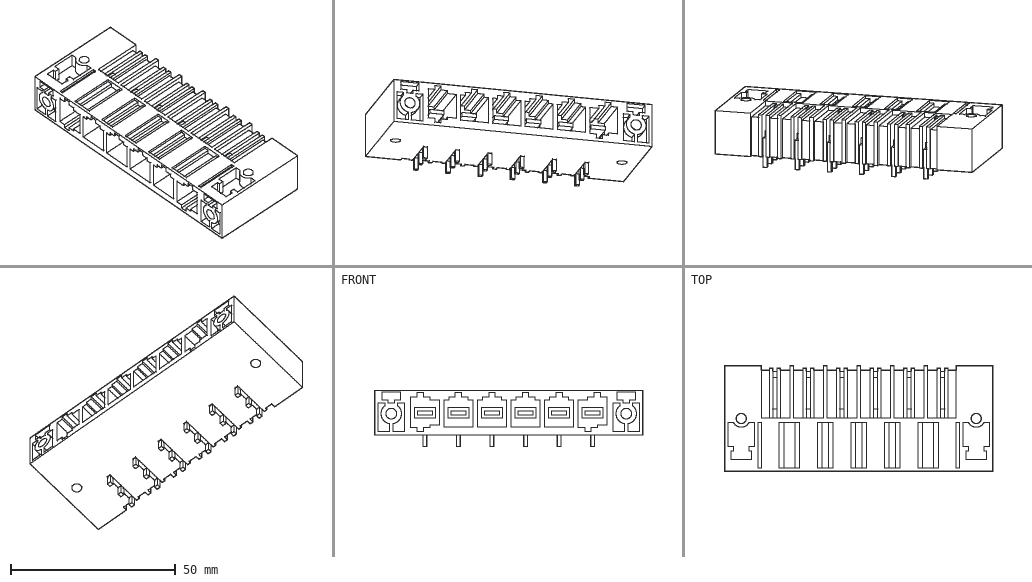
import cadquery as cq

length = 81.3
depth = 32.0
height = 13.6
leg_length = 3.5

contact_count = 6
pitch = 10.2
contact_places = [(i - (contact_count - 1) / 2) * pitch for i in range(contact_count)]
gap_places = [(left + right) / 2 for left, right in zip(contact_places, contact_places[1:])]

socket_depth = 14.9
socket_half = 4.4
step_half = 2.9
key_half = 1.0
socket_roof = 10.65
step_roof = 11.6
key_roof = 12.85
socket_floor = 2.5
end_step = 1.55
end_key = -1.4
end_floor = 3.0
end_step_floor = 2.3
lowest_floor = 1.05

blade_width = 4.5
blade_thickness = 1.2
blade_level = 6.75
blade_tip = 6.1
plate_thickness = 1.2
plate_front = 18.85
plate_back = 30.3
tail_front = 28.4
tail_top = 5.7
leg_count = 3
leg_size = 1.2
leg_pitch = 5.0
blade_top = blade_level + blade_thickness / 2
leg_places = [plate_back - leg_size / 2 - i * leg_pitch for i in range(leg_count)]

collar_width = 6.3
collar_height = 3.2
collar_depth = 0.6

flange_edge = 29.5
recess_front = 16.1
recess_floor = 12.1
rear_wall = 30.65
divider_thickness = 1.1
fin_thickness = 1.05
fin_back = 31.3
fin_top = 13.1
ledge_top = 12.7

groove_front = 1.0
groove_depth = 0.8
channel_depth = 1.95
groove_half = 2.35
channel_half = 1.0
end_groove_half = 3.8
end_channel_half = 2.35
side_groove_width = 1.0

flange_place = 35.6
mount_hole = 3.0
mount_boss = 5.3
pocket_half = 4.1
pocket_back = socket_depth
pocket_front = 7.55
pocket_floor = 9.35
neck_half = 2.35
slot_half = 3.2
slot_back = 6.1
slot_front = 3.6

face_pocket_depth = 3.0
face_pocket_top = 9.7
screw_level = 6.5
screw_boss = 6.2
screw_hole = 3.25
screw_hole_depth = 6.5
bridge_half = 1.95
web_thickness = 1.0
tee_half = 2.85
tee_stem_half = 1.0
tee_bottom = 10.65
tee_top = 13.1


def box(x0, x1, y0, y1, z0, z1):
    return cq.Workplane("XY").box(x1 - x0, y1 - y0, z1 - z0, centered=False).translate((x0, y0, z0))


def from_face(points, distance):
    """A prism whose outline lies in the mating face and which runs back into the housing."""
    return cq.Workplane("XZ").polyline(points).close().extrude(-distance)


def mating_cylinder(diameter, distance):
    return cq.Workplane("XZ").center(0, screw_level).circle(diameter / 2).extrude(-distance)


def middle_socket():
    right = [
        (socket_half, socket_floor),
        (socket_half, socket_roof),
        (step_half, socket_roof),
        (step_half, step_roof),
        (key_half, step_roof),
        (key_half, key_roof),
    ]
    left = [(-x, z) for x, z in reversed(right)]
    return from_face(right + left, socket_depth)


def end_socket(side):
    """Socket next to the flange on the given side; only its roof is mirrored."""
    roof = [
        (-socket_half, step_roof),
        (end_key - key_half, step_roof),
        (end_key - key_half, key_roof),
        (end_key + key_half, key_roof),
        (end_key + key_half, step_roof),
        (end_step, step_roof),
        (end_step, socket_roof),
        (socket_half, socket_roof),
    ]
    if side > 0:
        roof = [(-x, z) for x, z in reversed(roof)]
    floor = [
        (socket_half, end_floor),
        (end_step, end_floor),
        (end_step, end_step_floor),
        (end_key + key_half, end_step_floor),
        (end_key + key_half, lowest_floor),
        (end_key - key_half, lowest_floor),
        (end_key - key_half, end_step_floor),
        (-socket_half, end_step_floor),
    ]
    return from_face(roof + floor, socket_depth)


def collar_recess():
    half_width = collar_width / 2
    bottom = blade_level - collar_height / 2
    recess_back = socket_depth + collar_depth
    return box(-half_width, half_width, socket_depth, recess_back, bottom, bottom + collar_height)


def roof_groove(shelf_left, shelf_right, channel_left, channel_right):
    shelf = box(-shelf_left, shelf_right, groove_front, socket_depth, height - groove_depth, height)
    channel = box(-channel_left, channel_right, groove_front, socket_depth, height - channel_depth, height)
    return shelf.union(channel)


def fin_pair():
    pair_half = plate_thickness / 2 + fin_thickness
    return box(-pair_half, pair_half, recess_front, fin_back, 0, fin_top)


def contact_slot():
    """Slot between two fins, open downwards and to the rear behind a short ledge."""
    half = plate_thickness / 2
    above_ledge = box(-half, half, recess_front, plate_front, ledge_top, height)
    behind_ledge = box(-half, half, plate_front, depth, 0, height)
    return above_ledge.union(behind_ledge)


def flange_top_pocket():
    pocket = box(-pocket_half, pocket_half, pocket_front, pocket_back, pocket_floor, height)
    neck = box(-neck_half, neck_half, slot_back, pocket_front, pocket_floor, height)
    slot = box(-slot_half, slot_half, slot_front, slot_back, pocket_floor, height)
    boss = cq.Workplane("XY").center(0, depth / 2).circle(mount_boss / 2).extrude(height)
    return pocket.union(neck).union(slot).cut(boss)


def flange_face_pocket():
    pocket = box(-pocket_half, pocket_half, 0, face_pocket_depth, lowest_floor, face_pocket_top)
    boss = mating_cylinder(screw_boss, face_pocket_depth)
    bridge = box(-bridge_half, bridge_half, 0, face_pocket_depth, screw_level, face_pocket_top)
    web = box(-web_thickness / 2, web_thickness / 2, 0, face_pocket_depth, 0, screw_level)
    return pocket.cut(boss).cut(bridge).cut(web)


def flange_tee():
    bar = box(-tee_half, tee_half, 0, face_pocket_depth, tee_bottom, tee_top)
    stem = box(-tee_stem_half, tee_stem_half, 0, face_pocket_depth, face_pocket_top, tee_bottom)
    return bar.union(stem)


def flange_cuts():
    mount = cq.Workplane("XY").center(0, depth / 2).circle(mount_hole / 2).extrude(height)
    cuts = flange_top_pocket().union(mount)
    for cut in (flange_face_pocket(), flange_tee(), mating_cylinder(screw_hole, screw_hole_depth)):
        cuts = cuts.union(cut)
    return cuts


def blade():
    half = blade_width / 2
    return box(-half, half, blade_tip, plate_front, blade_top - blade_thickness, blade_top)


def make_contact():
    half = plate_thickness / 2
    contact = blade()
    contact = contact.union(box(-half, half, plate_front, tail_front, 0, blade_top))
    contact = contact.union(box(-half, half, tail_front, plate_back, 0, tail_top))
    leg_half = leg_size / 2
    for y in leg_places:
        contact = contact.union(box(-leg_half, leg_half, y - leg_half, y + leg_half, -leg_length, 0))
    return contact


def make_housing():
    body = box(-length / 2, length / 2, 0, depth, 0, height)

    body = body.cut(box(-flange_edge, flange_edge, recess_front, depth, recess_floor, height))
    body = body.cut(box(-flange_edge, flange_edge, rear_wall, depth, 0, height))
    for x in gap_places:
        half = divider_thickness / 2
        body = body.union(box(x - half, x + half, recess_front, depth, 0, height))
    for x in contact_places:
        body = body.union(fin_pair().translate((x, 0, 0)))
        body = body.cut(contact_slot().translate((x, 0, 0)))

    for x in contact_places[1:-1]:
        body = body.cut(middle_socket().translate((x, 0, 0)))
    for x, side in ((contact_places[0], -1), (contact_places[-1], 1)):
        body = body.cut(end_socket(side).translate((x, 0, 0)))
    for x in contact_places:
        body = body.cut(collar_recess().translate((x, 0, 0)))
        body = body.cut(blade().translate((x, 0, 0)))

    for x in gap_places[1:-1]:
        groove = roof_groove(groove_half, groove_half, channel_half, channel_half)
        body = body.cut(groove.translate((x, 0, 0)))
    left = roof_groove(end_groove_half, groove_half, end_channel_half, channel_half)
    right = roof_groove(groove_half, end_groove_half, channel_half, end_channel_half)
    body = body.cut(left.translate((gap_places[0], 0, 0)))
    body = body.cut(right.translate((gap_places[-1], 0, 0)))
    for x in (-flange_edge - side_groove_width, flange_edge):
        groove_right = x + side_groove_width
        body = body.cut(box(x, groove_right, groove_front, socket_depth, height - groove_depth, height))

    for x in (-flange_place, flange_place):
        body = body.cut(flange_cuts().translate((x, 0, 0)))
    return body


housing = make_housing()
contacts = [make_contact().translate((x, 0, 0)) for x in contact_places]

result = cq.Compound.makeCompound([housing.val(), *[contact.val() for contact in contacts]])